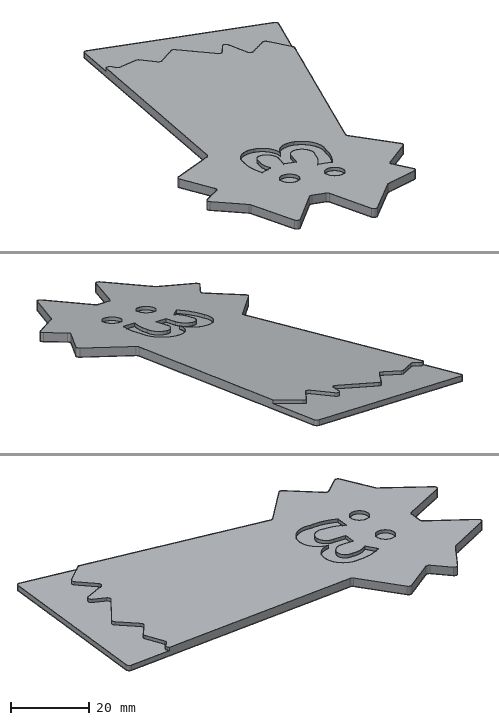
import cadquery as cq
import math

length = 117.9
thickness = 2.5
step_height = 1.5
corner_radius = 1.0

tail_half_width = 26.5
neck = (73.1, 18.7)
side_spike = (83.1, 31.0)
side_valley = (93.0, 23.3)
small_spike = (98.9, 28.9)
ear_base_x = 104.7
ear_outer_y = 18.7
ear_inner_y = 2.5
ear_tip_y = 10.5

ear_half_angle = math.radians(30.0)
ear_sharp_x = length + corner_radius * (1 / math.sin(ear_half_angle) - 1)

ragged_edge = [
    (21.8, 28.5),
    (11.5, 18.6),
    (17.9, 12.8),
    (9.0, 8.3),
    (15.5, 5.8),
    (8.6, -5.3),
    (15.0, -10.7),
    (11.4, -15.8),
    (14.6, -22.2),
    (12.7, -23.9),
    (15.5, -28.5),
]
ragged_radius = 1.0
tail_overrun = 5.9

eye_radius = 2.6
eye_centers = [(93.0, 8.5), (93.0, -3.8)]


def build_plate():
    upper_side = [
        (0, tail_half_width),
        neck,
        side_spike,
        side_valley,
        small_spike,
        (ear_base_x, ear_outer_y),
        (ear_sharp_x, ear_tip_y),
        (ear_base_x, ear_inner_y),
    ]
    lower_side = [(x, -y) for x, y in reversed(upper_side)]
    plate = cq.Workplane("XY").polyline(upper_side + lower_side).close().extrude(thickness)
    return plate.edges("|Z").fillet(corner_radius)


def build_tail_cutter():
    top_y = ragged_edge[0][1]
    bottom_y = ragged_edge[-1][1]
    outline = ragged_edge + [(-tail_overrun, bottom_y), (-tail_overrun, top_y)]
    cutter = cq.Workplane("XY", origin=(0, 0, step_height)).polyline(outline).close().extrude(thickness)
    return cutter.edges("|Z").fillet(ragged_radius)


def build_eye_cutter():
    floor = cq.Workplane("XY", origin=(0, 0, step_height))
    return floor.pushPoints(eye_centers).circle(eye_radius).extrude(thickness)


def build_mouth_cutter():
    """Curled mouth: two lobes that meet in a cusp, with a short bar between them."""
    return (
        cq.Workplane("XY", origin=(0, 0, step_height))
        .moveTo(87.3, 9.9)
        .threePointArc((83.7, 10.8), (79.5, 10.8))
        .threePointArc((74.0, 9.0), (72.4, 4.7))
        .threePointArc((74.0, 0.8), (77.7, -0.7))
        .threePointArc((74.0, -2.8), (73.1, -6.5))
        .threePointArc((74.8, -10.1), (79.5, -11.5))
        .threePointArc((83.9, -10.8), (87.3, -9.2))
        .lineTo(85.2, -6.1)
        .threePointArc((82.5, -7.5), (80.4, -7.7))
        .threePointArc((78.1, -7.2), (77.3, -5.1))
        .threePointArc((78.5, -3.1), (80.7, -2.2))
        .lineTo(84.2, -2.2)
        .lineTo(84.2, 1.3)
        .lineTo(80.6, 1.3)
        .threePointArc((78.1, 2.0), (77.1, 4.1))
        .threePointArc((78.3, 6.6), (81.3, 7.3))
        .threePointArc((84.5, 7.0), (87.3, 5.9))
        .close()
        .extrude(thickness)
    )


result = (
    build_plate()
    .cut(build_tail_cutter())
    .cut(build_eye_cutter())
    .cut(build_mouth_cutter())
)